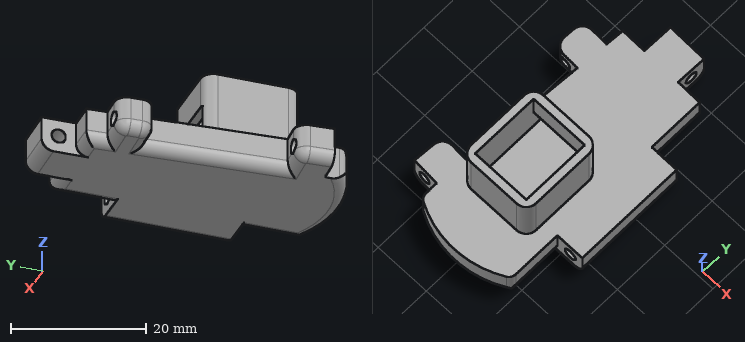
import cadquery as cq
import math


plate_height = 5.5
edge_radius = 1.85
plate_left_front = -9.05
plate_left_back = -6.6
plate_right = 9.6
plate_back_left = 26.35
plate_back_right = 26.1
side_break = -10.5
nose_tip = -16.25
nose_radius = 17.5
nose_corner_radius = 1.45

tower_width = 13.5
tower_length = 15.2
tower_height = 10.05
tower_corner_radius = 2.0
wall = 1.45
window_height = 5.05

tab_overlap = 3.35
tab_corner_radius = 2.0
hole_diameter = 2.2
hole_height = plate_height / 2
left_hole_inset = 2.25
back_hole_inset = 2.7
right_hole_inset = 2.5
left_tab_length = 5.0
left_tab_width = 5.8
upper_left_tilt = -2.5
upper_left_x = -12.05
upper_left_y = 20.45
lower_left_tilt = -3.7
lower_left_x = -13.8
lower_left_y = -7.3
back_tab_length = 5.35
back_tab_width = 7.15
back_tab_tilt = -1.2
back_tab_x = 1.6
back_tab_y = 31.6
right_tab_front = -4.0
right_tab_back = 15.97
right_tab_length = 5.2


def rear_plate():
    """Slanted part of the plate, rounded below on its left, back and right sides."""
    outline = [
        (plate_left_front, side_break),
        (plate_left_back, plate_back_left),
        (plate_right, plate_back_right),
        (plate_right, side_break),
    ]
    plate = cq.Workplane("XY").polyline(outline).close().extrude(plate_height)
    return plate.faces("<Z").edges("not <Y").fillet(edge_radius)


def nose_prism():
    """Front part of the plate, ending in an arc centred across the plate width."""
    center_x = (plate_left_front + plate_right) / 2
    half_width = (plate_right - plate_left_front) / 2
    center_y = nose_tip + nose_radius
    corner_y = center_y - math.sqrt(nose_radius**2 - half_width**2)
    return (
        cq.Workplane("XY")
        .moveTo(plate_left_front, side_break)
        .lineTo(plate_left_front, corner_y)
        .threePointArc((center_x, nose_tip), (plate_right, corner_y))
        .lineTo(plate_right, side_break)
        .close()
        .extrude(plate_height)
    )


def nose():
    """Nose rounded below on its arc and right side; its left side stays square."""
    lower_rounded = nose_prism().faces("<Z").edges("%CIRCLE or >X").fillet(edge_radius)
    corner_rounded = nose_prism().faces("%CYLINDER").edges("|Z").fillet(nose_corner_radius)
    return lower_rounded.intersect(corner_rounded)


def tab(length, width, hole_inset, rounded_corners="", rounded_bottom="<X"):
    """Tab along -X with its outer face at X = 0, and a cross hole along Y."""
    body = cq.Workplane("XY").box(
        length + tab_overlap, width, plate_height, centered=(False, True, False)
    )
    if rounded_corners:
        body = body.edges(rounded_corners).fillet(tab_corner_radius)
    body = body.faces("<Z").edges(rounded_bottom).fillet(edge_radius)
    hole = (
        cq.Workplane("XZ")
        .center(hole_inset, hole_height)
        .circle(hole_diameter / 2)
        .extrude(width, both=True)
    )
    return body.cut(hole)


def place(body, angle, x, y):
    """Turn a tab about Z and move the middle of its outer face to (x, y)."""
    return body.rotate((0, 0, 0), (0, 0, 1), angle).translate((x, y, 0))


def tower():
    """Hollow tower whose back wall is open below the window top."""
    bore_width = tower_width - 2 * wall
    bore_length = tower_length - 2 * wall
    shell = (
        cq.Workplane("XY", origin=(0, 0, plate_height))
        .rect(tower_width, tower_length)
        .extrude(tower_height)
        .edges("|Z")
        .fillet(tower_corner_radius)
    )
    bore = (
        cq.Workplane("XY", origin=(0, 0, plate_height))
        .rect(bore_width, bore_length)
        .extrude(tower_height)
    )
    window = cq.Workplane("XY", origin=(0, 0, plate_height)).box(
        bore_width, tower_length, window_height, centered=(True, False, False)
    )
    return shell.cut(bore).cut(window)


upper_left_tab = place(
    tab(left_tab_length, left_tab_width, left_hole_inset, "|Z and <X", "not >X"),
    upper_left_tilt, upper_left_x, upper_left_y,
)
lower_left_tab = place(
    tab(left_tab_length, left_tab_width, left_hole_inset, "|Z and <X and >Y", "not (>X or <Y)"),
    lower_left_tilt, lower_left_x, lower_left_y,
)
back_tab = place(
    tab(back_tab_length, back_tab_width, back_hole_inset),
    back_tab_tilt - 90, back_tab_x, back_tab_y,
)
right_tab = place(
    tab(right_tab_length, right_tab_back - right_tab_front, right_hole_inset),
    180, plate_right + right_tab_length, (right_tab_front + right_tab_back) / 2,
)

result = rear_plate().union(nose())
for piece in (upper_left_tab, lower_left_tab, back_tab, right_tab, tower()):
    result = result.union(piece)